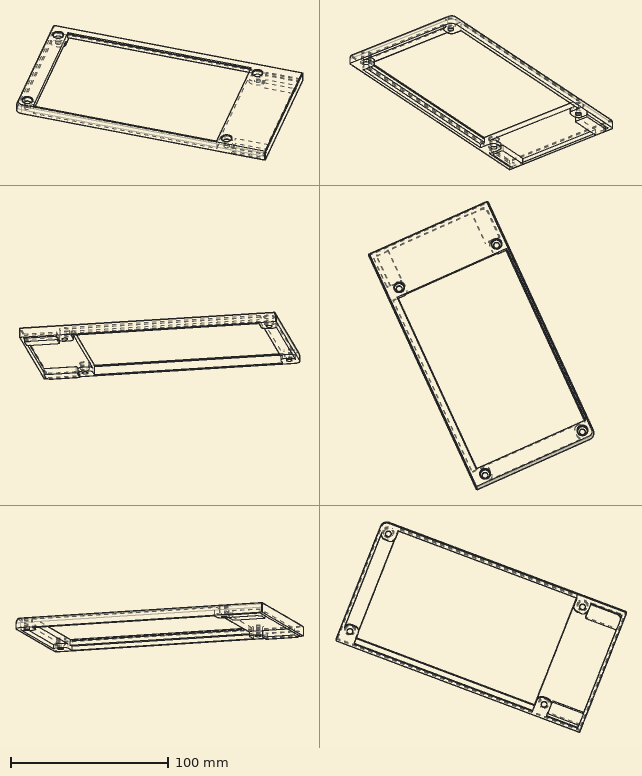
import cadquery as cq
import math

length = 166.0
width = 83.3
total_height = 8.0
foot_drop = 1.5
plate_height = total_height - foot_drop

bevel_height = 1.0
crown_start = plate_height / 2
crown_angle = math.radians(30)
corner_radius = 4.3
edge_break = 0.5

window_left, window_right = 11.6, 133.1
window_front, window_back = 2.5, 77.9
window_step = 0.5
step_depth = 1.0

skin = 3.8
rim_wall = 2.2
ceiling = plate_height - skin

hole_xs = (6.3, 138.5)
hole_ys = (6.6, 74.5)
hole_radius = 1.8
bore_radius = 3.0
bore_depth = 3.5
mouth_bevel = 0.5

block_reach = 4.2
block_radius = 3.3

foot_left, foot_right = hole_xs[1] + block_reach, 163.8
front_foot = (2.8, 12.5)
back_foot = (70.7, 78.8)
foot_corner_radius = 3.5
foot_edge_radius = 0.7


def box(x_range, y_range, z_range):
    """Block spanning the given ranges."""
    size = [end - start for start, end in (x_range, y_range, z_range)]
    corner = (x_range[0], y_range[0], z_range[0])
    return cq.Workplane("XY").box(*size, centered=False).translate(corner)


def crowned_plate():
    """Solid plate with crowned -X and -Y sides and chamfered +X and +Y sides."""
    arc_height = plate_height - bevel_height - crown_start
    arc_radius = arc_height / math.sin(crown_angle)
    arc_inset = arc_radius * (1 - math.cos(crown_angle))
    top_inset = arc_inset + bevel_height * math.tan(crown_angle)
    clearance = 1.7

    side_path = (
        cq.Workplane("XY")
        .moveTo(length, 0)
        .lineTo(corner_radius, 0)
        .radiusArc((0, corner_radius), corner_radius)
        .lineTo(0, width)
    )
    trim = (
        cq.Workplane("YZ", origin=(length, 0, 0))
        .moveTo(0, crown_start)
        .radiusArc((arc_inset, crown_start + arc_height), arc_radius)
        .lineTo(top_inset, plate_height)
        .lineTo(top_inset, plate_height + clearance)
        .lineTo(-clearance, plate_height + clearance)
        .lineTo(-clearance, crown_start)
        .close()
        .sweep(side_path)
    )
    plate = box((0, length), (0, width), (0, plate_height))
    plate = plate.edges("|Z and <X and <Y").fillet(corner_radius).cut(trim)
    return plate.faces(">X or >Y").edges("not(<Z or (>X and >Y))").chamfer(edge_break)


def screw_block(x, y):
    """Block around one hole, running out to the nearest plate side or corner."""
    left = x < length / 2
    front = y < width / 2
    x_range = (rim_wall, window_left) if left else (window_right, x + block_reach)
    y_range = (0, y + block_reach) if front else (y - block_reach, width)
    block = box(x_range, y_range, (0, plate_height))
    free_side = ">Y" if front else "<Y"
    return block.edges("|Z").edges(free_side).fillet(block_radius)


def hollow():
    """Space under the skin, less the screw blocks."""
    space = box(
        (rim_wall, length - rim_wall), (window_front, width - rim_wall), (0, ceiling)
    )
    for x in hole_xs:
        for y in hole_ys:
            space = space.cut(screw_block(x, y))
    return space


def window():
    """Stepped opening through the plate."""
    x_range = (window_left, window_right)
    opening = box(x_range, (window_front, window_back), (0, plate_height))
    step = box(
        x_range,
        (window_front - window_step, window_back + window_step),
        (plate_height - step_depth, plate_height),
    )
    return opening.union(step)


def screw_hole(x, y):
    """Through hole, conical seat, counterbore and bevelled mouth."""
    bore_floor = plate_height - bore_depth
    seat_floor = bore_floor - (bore_radius - hole_radius)
    return (
        cq.Workplane("XZ")
        .lineTo(hole_radius, 0)
        .lineTo(hole_radius, seat_floor)
        .lineTo(bore_radius, bore_floor)
        .lineTo(bore_radius, plate_height - mouth_bevel)
        .lineTo(bore_radius + mouth_bevel, plate_height)
        .lineTo(0, plate_height)
        .close()
        .revolve(360, (0, 0, 0), (0, 1, 0))
        .translate((x, y, 0))
    )


def foot(y_range):
    """Post from the underside of the skin to below the rim."""
    return box((foot_left, foot_right), y_range, (-foot_drop, plate_height - skin / 2))


def feet():
    """Front foot with one large rounded corner, and the back foot."""
    front = foot(front_foot)
    front = front.edges("|Z and >X and <Y").fillet(foot_corner_radius)
    front = front.edges("|Z and <X").fillet(foot_edge_radius)
    back = foot(back_foot).edges("|Z").fillet(foot_edge_radius)
    return front.union(back)


result = crowned_plate().cut(hollow()).union(feet()).cut(window())
for hole_x in hole_xs:
    for hole_y in hole_ys:
        result = result.cut(screw_hole(hole_x, hole_y))